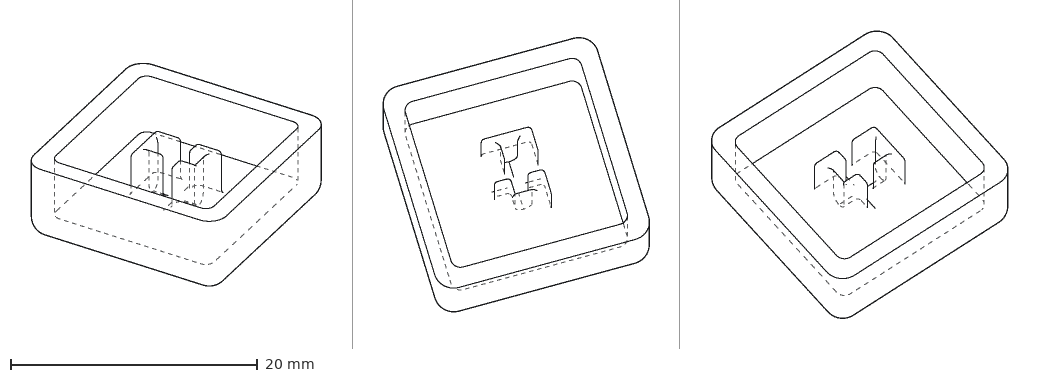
import cadquery as cq
import math

ARC_SETBACK = 1 - math.sqrt(0.5)

CAP_WIDTH = 18.05
CAP_HEIGHT = 7.0
WALL = 1.6
CAP_RADIUS = WALL
CAVITY_RADIUS = 0.8
FLOOR = WALL

POST_HEIGHT = 4.5
STEM_TOP = FLOOR + POST_HEIGHT
STEM_HALF_X = 3.125
STEM_HALF_Y = 2.125
GAP_HALF = 0.7
POST_BACK = 1.0
SLOT_HALF_LENGTH = STEM_HALF_X - POST_BACK
POST_CORNER_RADIUS = 0.3
POST_TOP_RADIUS = 0.4
ROOT_RADIUS = 0.8
EMBED = 0.2


def make_cap():
    """Square tray with rounded corners and a rounded bottom rim."""
    body = cq.Workplane("XY").rect(CAP_WIDTH, CAP_WIDTH).extrude(CAP_HEIGHT)
    body = body.edges("|Z").fillet(CAP_RADIUS)
    body = body.faces("<Z").edges().fillet(CAP_RADIUS)
    cavity_width = CAP_WIDTH - 2 * WALL
    cavity = (
        cq.Workplane("XY", origin=(0, 0, FLOOR))
        .rect(cavity_width, cavity_width)
        .extrude(CAP_HEIGHT - FLOOR)
        .edges("|Z")
        .fillet(CAVITY_RADIUS)
    )
    return body.cut(cavity)


def make_post():
    """C-shaped post on the +X side, opening toward the centre."""
    upper_half = [
        (SLOT_HALF_LENGTH, GAP_HALF),
        (GAP_HALF, GAP_HALF),
        (GAP_HALF, STEM_HALF_Y),
        (STEM_HALF_X, STEM_HALF_Y),
    ]
    lower_half = [(x, -y) for x, y in reversed(upper_half)]
    base = FLOOR - EMBED
    post = (
        cq.Workplane("XY", origin=(0, 0, base))
        .polyline(upper_half + lower_half)
        .close()
        .extrude(STEM_TOP - base)
    )
    post = post.faces(">Z").edges().fillet(POST_TOP_RADIUS)
    outer_edges = post.edges("|Z").filter(
        lambda edge: abs(edge.Center().x - SLOT_HALF_LENGTH) > POST_CORNER_RADIUS
    )
    return outer_edges.fillet(POST_CORNER_RADIUS)


def make_root_fillet():
    """Concave fillet along the foot of the post's +Y half, from slot end to outer face."""
    r = POST_CORNER_RADIUS
    setback = r * ARC_SETBACK
    near_x = near_y = GAP_HALF
    far_x = STEM_HALF_X
    far_y = STEM_HALF_Y
    path = (
        cq.Workplane("XY", origin=(0, 0, FLOOR))
        .moveTo(SLOT_HALF_LENGTH, near_y)
        .lineTo(near_x + r, near_y)
        .threePointArc((near_x + setback, near_y + setback), (near_x, near_y + r))
        .lineTo(near_x, far_y - r)
        .threePointArc((near_x + setback, far_y - setback), (near_x + r, far_y))
        .lineTo(far_x - r, far_y)
        .threePointArc((far_x - setback, far_y - setback), (far_x, far_y - r))
        .lineTo(far_x, 0)
    )
    plane = cq.Plane(origin=(SLOT_HALF_LENGTH, near_y, FLOOR), xDir=(0, -1, 0), normal=(-1, 0, 0))
    hollow = ROOT_RADIUS * ARC_SETBACK
    return (
        cq.Workplane(plane)
        .moveTo(-EMBED, -EMBED)
        .lineTo(ROOT_RADIUS, -EMBED)
        .lineTo(ROOT_RADIUS, 0)
        .threePointArc((hollow, hollow), (0, ROOT_RADIUS))
        .lineTo(-EMBED, ROOT_RADIUS)
        .close()
        .sweep(path)
    )


def make_stem():
    """Both posts with their root fillets."""
    quarter_root = make_root_fillet()
    half_root = quarter_root.union(quarter_root.mirror("XZ"))
    half_stem = make_post().union(half_root)
    return half_stem.union(half_stem.mirror("YZ"))


result = make_cap().union(make_stem())